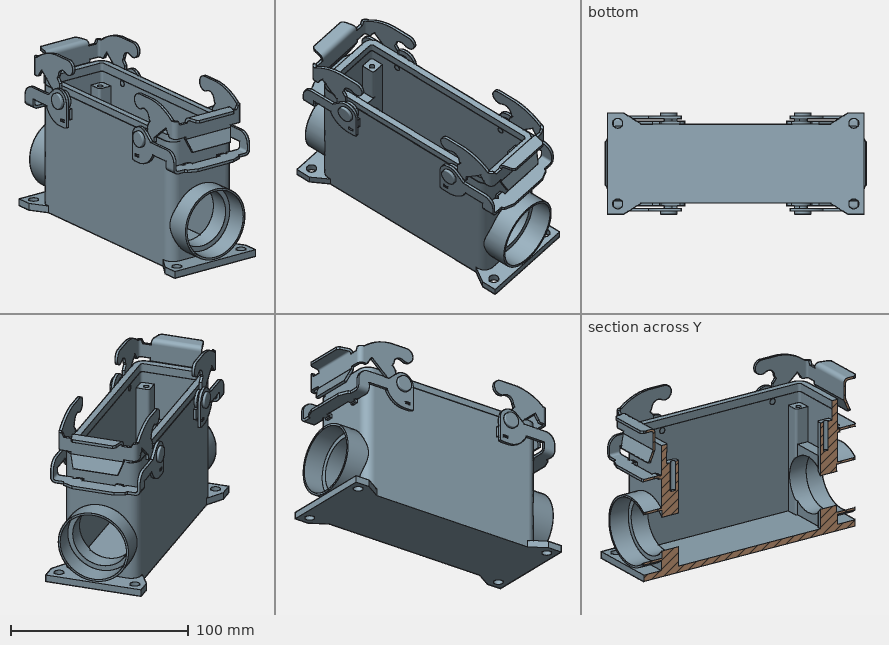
import cadquery as cq
import math


housing_length = 120.5
housing_width = 44.4
housing_height = 80.1
housing_corner_radius = 6.0
wall = 4.1
floor_thickness = 4.1
cavity_corner_radius = 1.5
lip_bottom = 75.1
lip_overhang = 0.1
rim_height = 4.1
rim_inset = 0.3

diagonal = math.sqrt(0.5)

cavity_length = housing_length - 2 * wall
cavity_width = housing_width - 2 * wall
end_x = -housing_length / 2
cavity_end_x = end_x + wall

post_size = 7.8
post_top = 68.3
post_corner_radius = 1.5
screw_radius = 1.5
screw_depth = 17.6
screw_end_inset = 4.1
screw_side_inset = 4.5
near_end_thickness = 6.8
far_end_thickness = post_size

inlet_radius = 21.0
inlet_socket_radius = 19.8
inlet_bore_radius = 16.9
inlet_z = 26.0
inlet_end_x = -72.2
inlet_socket_depth = 12.5

flange_thickness = 4.1
flange_width = 57.0
flange_corner_x = -63.0
flange_root_x = -52.9
flange_hole_radius = 2.8
flange_hole_inset = 5.9

pivot_x = -37.6
pivot_z = 73.0
pin_radius = 2.6
pin_end_radius = 1.8
pin_head_radius = 4.7
pin_head_edge = 0.5
sheet = 1.6
bend_overlap = 0.6
hook_outer_y = housing_width / 2 + sheet
lever_outer_y = 26.7
pin_outer_y = flange_width / 2

hook_end_x = -65.8
hook_bend_radius = 3.0
hook_bottom = 80.1
hook_top = 98.0
hook_wall_top = 88.3
hook_shoulder_z = 90.7
hook_shoulder_y = 21.2
hook_notch_y = 20.0
tip_radius = 4.4
throat_radius = 4.3
throat_z = 86.3
back_middle = (-54.1, 95.8)
back_end = (-44.7, hook_top)
throat_lip = (-42.9, 84.5)
neck_front = (-40.7, 81.7)
neck_rear = (-46.9, 76.0)
underside_peak = (-57.5, 85.0)
heel_start = (-60.0, 81.4)
heel_middle = (-60.4, 80.5)
heel_end = (-61.6, hook_bottom)
hub_radius = 5.3
hook_lobe_x = (-41.9, -31.5)
hook_lobe_z = (62.8, 69.1)
hook_lobe_radius = 5.9
thumb_tab_end_x = -73.5
thumb_tab_top = 91.5
thumb_bend_radius = 2.8
thumb_tab_root_half = 15.1
thumb_tab_side_half = 13.4
thumb_tab_end_half = 12.0
thumb_tab_corner = 1.5
spring_tab_root_half = 15.7
spring_tab_end_half = 13.1
spring_tab_bend_z = 78.8
spring_tab_bottom = 70.7
spring_tab_shoulder = 1.5
spring_tab_reach = 3.2
spring_tab_corner_radius = 1.2

cam_radius = 7.0
lever_bottom = 60.7
lever_arm_x = -69.0
lever_handle_x = -72.8
lever_inner_x = -61.6
lever_bend_radius = 3.1
lever_arm_top = 73.8
lever_arm_bottom = 66.9
lever_elbow_radius = 6.6
lever_slope_x = -47.5
lever_lobe_bottom = 58.3
lobe_corner_width = 2.0
lobe_corner_height = 0.5
lobe_middle = (-44.4, 60.8)
lobe_end = (-49.0, 66.1)
lever_handle_half = 12.5
lever_shoulder_half = 19.1
lever_knee_x = -70.4
lever_knee_half = 18.4
lever_cutout_x = -64.0
clip_inner_y = 9.8
clip_outer_y = 13.8
clip_z = (59.7, 61.9)
clip_overlap = 0.1
relief_width = 2.0
relief_length = 3.0
dimple_x = (-35.9, -32.9)
dimple_z = (61.5, 62.8)
dimple_depth = 0.9
stop_height = 1.3


def box(x_range, y_range, z_range):
    """Box between the given limits."""
    sizes = [high - low for low, high in (x_range, y_range, z_range)]
    corner = (x_range[0], y_range[0], z_range[0])
    return cq.Workplane("XY").box(*sizes, centered=False).translate(corner)


def side_plate(outline, outer_y):
    """Sheet cut to an XZ outline, with its outer face at -outer_y."""
    return outline.extrude(sheet).translate((0, sheet - outer_y, 0))


def both_sides(shape):
    """The shape together with its mirror image across the XZ plane."""
    return shape.union(shape.mirror("XZ"))


def rounded_rectangle(length, width, radius, z):
    sketch = cq.Sketch().rect(length, width).vertices().fillet(radius)
    return cq.Workplane("XY", origin=(0, 0, z)).placeSketch(sketch)


def make_housing():
    """Rounded box whose long sides step in slightly at the rim."""
    rim_bottom = housing_height - rim_height
    body = rounded_rectangle(housing_length, housing_width, housing_corner_radius, 0)
    rim = rounded_rectangle(
        housing_length, housing_width - 2 * rim_inset, housing_corner_radius, rim_bottom
    )
    return body.extrude(rim_bottom).union(rim.extrude(rim_height))


def make_cavity():
    """Rounded well, slightly undercut below the lip."""
    radius = cavity_corner_radius
    growth = 2 * lip_overhang
    upper = rounded_rectangle(cavity_length, cavity_width, radius, floor_thickness)
    lower = rounded_rectangle(
        cavity_length + growth, cavity_width + growth, radius, floor_thickness
    )
    upper = upper.extrude(housing_height - floor_thickness)
    return upper.union(lower.extrude(lip_bottom - floor_thickness))


def make_flange():
    half = flange_width / 2
    flange = (
        cq.Workplane("XY")
        .moveTo(inlet_end_x, -half)
        .lineTo(flange_corner_x, -half)
        .lineTo(flange_root_x, -housing_width / 2)
        .lineTo(flange_root_x, housing_width / 2)
        .lineTo(flange_corner_x, half)
        .lineTo(inlet_end_x, half)
        .close()
        .extrude(flange_thickness)
    )
    hole_y = half - flange_hole_inset
    holes = (
        cq.Workplane("XY")
        .pushPoints([(inlet_end_x + flange_hole_inset, y) for y in (-hole_y, hole_y)])
        .circle(flange_hole_radius)
        .extrude(flange_thickness)
    )
    return flange.cut(holes)


def inlet_cylinder(radius, start_x, stop_x):
    return (
        cq.Workplane("YZ", origin=(start_x, 0, inlet_z))
        .circle(radius)
        .extrude(stop_x - start_x)
    )


def make_thick_wall(thickness):
    """Thick end wall around the cable bore at the -X end."""
    half = (housing_width - wall) / 2
    return box(
        (end_x + wall / 2, cavity_end_x + thickness), (-half, half), (0, inlet_z + inlet_radius)
    )


def make_posts():
    """Two screw posts, reaching slightly into the housing walls."""
    post = box(
        (end_x + wall / 2, cavity_end_x + post_size),
        (-(housing_width - wall) / 2, -cavity_width / 2 + post_size),
        (0, post_top),
    )
    post = post.edges("|Z and >X and >Y").fillet(post_corner_radius)
    hole = (
        cq.Workplane("XY", origin=(0, 0, post_top - screw_depth))
        .center(cavity_end_x + screw_end_inset, -cavity_width / 2 + screw_side_inset)
        .circle(screw_radius)
        .extrude(screw_depth)
    )
    return both_sides(post.cut(hole))


def make_pin():
    """Rivet from the housing wall through both sheets, with a disc head outside."""

    def disc(radius, inner_y, outer_y):
        return (
            cq.Workplane("XZ", origin=(pivot_x, -inner_y, pivot_z))
            .circle(radius)
            .extrude(outer_y - inner_y)
        )

    wall_middle_y = (housing_width - wall) / 2
    end = disc(pin_end_radius, cavity_width / 2, wall_middle_y)
    shank = disc(pin_radius, wall_middle_y, lever_outer_y)
    head = disc(pin_head_radius, lever_outer_y, pin_outer_y)
    head = head.faces("<Y").edges().fillet(pin_head_edge)
    return end.union(shank).union(head)


def make_hook_plate():
    """Hook with a rounded back, a hooked tip over a round throat and a hub on the pivot."""
    tip_z = hook_top - tip_radius
    reach = tip_radius + throat_radius
    tip_x = pivot_x + math.sqrt(reach**2 - (tip_z - throat_z) ** 2)
    meet_x = pivot_x + (tip_x - pivot_x) * throat_radius / reach
    meet_z = throat_z + (tip_z - throat_z) * throat_radius / reach
    throat_offset = throat_radius * diagonal
    outline = (
        cq.Workplane("XZ")
        .moveTo(hook_end_x + hook_bend_radius, hook_bottom)
        .lineTo(hook_end_x + hook_bend_radius, hook_shoulder_z)
        .threePointArc(back_middle, back_end)
        .lineTo(tip_x, hook_top)
        .threePointArc((tip_x + tip_radius, tip_z), (meet_x, meet_z))
        .threePointArc(
            (pivot_x - throat_offset, throat_z + throat_offset),
            (pivot_x - throat_radius, throat_z),
        )
        .lineTo(*throat_lip)
        .lineTo(*neck_front)
        .lineTo(neck_front[0], pivot_z)
        .lineTo(neck_rear[0], pivot_z)
        .lineTo(*neck_rear)
        .lineTo(*underside_peak)
        .lineTo(*heel_start)
        .threePointArc(heel_middle, heel_end)
        .close()
    )
    hub = cq.Workplane("XZ").center(pivot_x, pivot_z).circle(hub_radius)
    lobe = box(hook_lobe_x, (-hook_outer_y, sheet - hook_outer_y), hook_lobe_z)
    lobe = lobe.edges("|Y and <X and <Z").fillet(hook_lobe_radius)
    plate = side_plate(outline, hook_outer_y).union(side_plate(hub, hook_outer_y))
    return plate.union(lobe)


def make_hook_wall():
    """Cross wall with rounded corners, stepped down beside the thumb tab."""
    back = hook_end_x + hook_bend_radius + bend_overlap
    z_range = (hook_bottom, hook_shoulder_z)
    channel = box((hook_end_x, back), (-hook_outer_y, hook_outer_y), z_range)
    channel = channel.edges("|Z and <X").fillet(hook_bend_radius)
    inner_y = hook_outer_y - sheet
    hollow = box((hook_end_x + sheet, back), (-inner_y, inner_y), z_range)
    hollow = hollow.edges("|Z and <X").fillet(hook_bend_radius - sheet)
    step = (
        cq.Workplane("YZ")
        .moveTo(-hook_shoulder_y, hook_shoulder_z)
        .lineTo(-hook_notch_y, hook_wall_top)
        .lineTo(hook_notch_y, hook_wall_top)
        .lineTo(hook_shoulder_y, hook_shoulder_z)
        .close()
        .extrude(hook_end_x)
    )
    return channel.cut(hollow).cut(step)


def make_thumb_tab():
    """Tab bent outward from the top of the cross wall."""
    inner_x = hook_end_x + sheet
    tab = (
        cq.Workplane("XZ")
        .moveTo(thumb_tab_end_x, thumb_tab_top)
        .lineTo(inner_x, thumb_tab_top)
        .lineTo(inner_x, hook_wall_top - sheet)
        .lineTo(hook_end_x, hook_wall_top - sheet)
        .lineTo(hook_end_x, thumb_tab_top - sheet)
        .lineTo(thumb_tab_end_x, thumb_tab_top - sheet)
        .close()
        .extrude(thumb_tab_root_half, both=True)
    )
    tab = tab.edges("|Y and >X and >Z").fillet(thumb_bend_radius)
    inner_corner = cq.selectors.NearestToPointSelector((hook_end_x, 0, thumb_tab_top - sheet))
    tab = tab.edges("|Y").edges(inner_corner).fillet(thumb_bend_radius - sheet)
    plan = (
        cq.Workplane("XY")
        .moveTo(inner_x, -thumb_tab_root_half)
        .lineTo(thumb_tab_end_x + thumb_tab_corner, -thumb_tab_side_half)
        .lineTo(thumb_tab_end_x, -thumb_tab_end_half)
        .lineTo(thumb_tab_end_x, thumb_tab_end_half)
        .lineTo(thumb_tab_end_x + thumb_tab_corner, thumb_tab_side_half)
        .lineTo(inner_x, thumb_tab_root_half)
        .close()
        .extrude(hook_top)
    )
    return tab.intersect(plan)


def make_spring_tab():
    """Tab hanging from the cross wall and leaning outward, narrower at its lower end."""
    tip_edge_x = hook_end_x - spring_tab_reach
    bend_z = spring_tab_bend_z
    end_z = spring_tab_bottom
    lean = math.atan2(spring_tab_reach, bend_z - end_z)
    profile = (
        cq.Workplane("XZ")
        .moveTo(hook_end_x, hook_bottom)
        .lineTo(hook_end_x, bend_z)
        .lineTo(tip_edge_x, end_z + sheet * math.sin(lean))
        .lineTo(tip_edge_x + sheet * math.cos(lean), end_z)
        .lineTo(hook_end_x + sheet, bend_z - sheet * math.tan(lean / 2))
        .lineTo(hook_end_x + sheet, hook_bottom)
        .close()
        .extrude(spring_tab_root_half, both=True)
    )
    face = (
        cq.Workplane("YZ")
        .polyline(
            [
                (-spring_tab_root_half, hook_bottom),
                (spring_tab_root_half, hook_bottom),
                (spring_tab_root_half, hook_bottom - spring_tab_shoulder),
                (spring_tab_end_half, end_z),
                (-spring_tab_end_half, end_z),
                (-spring_tab_root_half, hook_bottom - spring_tab_shoulder),
            ]
        )
        .close()
        .extrude(thumb_tab_end_x)
        .edges("|X and <Z")
        .fillet(spring_tab_corner_radius)
    )
    return profile.intersect(face)


def make_lever_plate():
    """Lever side: a head around the pivot with a lobe below, and an arm down to the handle."""
    head_x = pivot_x + cam_radius
    arm_base = lever_bottom + lever_bend_radius
    elbow_x = lever_arm_x + lever_elbow_radius
    elbow_z = lever_arm_top - lever_elbow_radius
    slope_dx = lever_slope_x - pivot_x
    slope_dz = lever_arm_top - pivot_z
    slope_turn = math.acos(cam_radius / math.hypot(slope_dx, slope_dz))
    tangent = math.atan2(slope_dz, slope_dx) - slope_turn
    outline = (
        cq.Workplane("XZ")
        .moveTo(lever_arm_x, arm_base)
        .lineTo(lever_arm_x, elbow_z)
        .threePointArc(
            (elbow_x - diagonal * lever_elbow_radius, elbow_z + diagonal * lever_elbow_radius),
            (elbow_x, lever_arm_top),
        )
        .lineTo(lever_slope_x, lever_arm_top)
        .lineTo(pivot_x + cam_radius * math.cos(tangent), pivot_z + cam_radius * math.sin(tangent))
        .threePointArc(
            (pivot_x + diagonal * cam_radius, pivot_z + diagonal * cam_radius),
            (head_x, pivot_z),
        )
        .lineTo(head_x, lever_lobe_bottom + lobe_corner_height)
        .lineTo(head_x - lobe_corner_width, lever_lobe_bottom)
        .lineTo(pivot_x, lever_lobe_bottom)
        .threePointArc(lobe_middle, lobe_end)
        .lineTo(lobe_end[0], lever_arm_bottom)
        .lineTo(lever_inner_x, lever_arm_bottom)
        .lineTo(lever_inner_x, arm_base)
        .close()
    )
    plate = side_plate(outline, lever_outer_y)
    inner_y = sheet - lever_outer_y
    recess = box(dimple_x, (-lever_outer_y, dimple_depth - lever_outer_y), dimple_z)
    stop = box(dimple_x, (inner_y, inner_y + stop_height), dimple_z)
    return plate.cut(recess).union(stop)


def make_lever_handle():
    """Flat strip joining the two lever arms, bent up at both ends."""
    top = lever_bottom + lever_bend_radius + bend_overlap
    x_range = (lever_handle_x, lever_inner_x)
    trough = box(x_range, (-lever_outer_y, lever_outer_y), (lever_bottom, top))
    trough = trough.edges("|X and <Z").fillet(lever_bend_radius)
    inner_y = lever_outer_y - sheet
    hollow = box(x_range, (-inner_y, inner_y), (lever_bottom + sheet, top))
    hollow = hollow.edges("|X and <Z").fillet(lever_bend_radius - sheet)
    plan = (
        cq.Workplane("XY", origin=(0, 0, lever_bottom))
        .polyline(
            [
                (lever_inner_x, -lever_outer_y),
                (lever_arm_x, -lever_outer_y),
                (lever_arm_x, -lever_shoulder_half),
                (lever_knee_x, -lever_knee_half),
                (lever_handle_x, -lever_handle_half),
                (lever_handle_x, lever_handle_half),
                (lever_knee_x, lever_knee_half),
                (lever_arm_x, lever_shoulder_half),
                (lever_arm_x, lever_outer_y),
                (lever_inner_x, lever_outer_y),
            ]
        )
        .close()
        .extrude(top - lever_bottom)
    )
    slot_y = clip_outer_y + relief_width / 2
    slot = (
        cq.Workplane("XY", origin=(lever_inner_x, -slot_y, lever_bottom))
        .slot2D(relief_length, relief_width)
        .extrude(sheet)
    )
    clip = box(
        (lever_inner_x - clip_overlap, end_x + clip_overlap),
        (-clip_outer_y, -clip_inner_y),
        clip_z,
    )
    cutout = box(
        (lever_cutout_x, lever_inner_x),
        (-clip_inner_y, clip_inner_y),
        (lever_bottom, lever_bottom + sheet),
    )
    handle = trough.cut(hollow).intersect(plan).cut(both_sides(slot)).cut(cutout)
    return handle.union(both_sides(clip))


def make_locking_end():
    """Hook bracket, lever and pins of one end."""
    sides = make_hook_plate().union(make_lever_plate()).union(make_pin())
    parts = both_sides(sides)
    for cross_part in (make_hook_wall(), make_thumb_tab(), make_spring_tab(), make_lever_handle()):
        parts = parts.union(cross_part)
    return parts


def both_ends(shape):
    """The shape together with its mirror image across the YZ plane."""
    return shape.union(shape.mirror("YZ"))


inlet = inlet_cylinder(inlet_radius, inlet_end_x, end_x + housing_corner_radius)
socket = inlet_cylinder(inlet_socket_radius, inlet_end_x, inlet_end_x + inlet_socket_depth)
bore = inlet_cylinder(inlet_bore_radius, inlet_end_x, cavity_end_x + post_size)

result = make_housing().union(both_ends(make_flange().union(inlet)))
result = result.cut(make_cavity()).union(both_ends(make_posts()))
result = result.union(make_thick_wall(near_end_thickness))
result = result.union(make_thick_wall(far_end_thickness).mirror("YZ"))
result = result.cut(both_ends(socket.union(bore)))
result = result.union(both_ends(make_locking_end()))